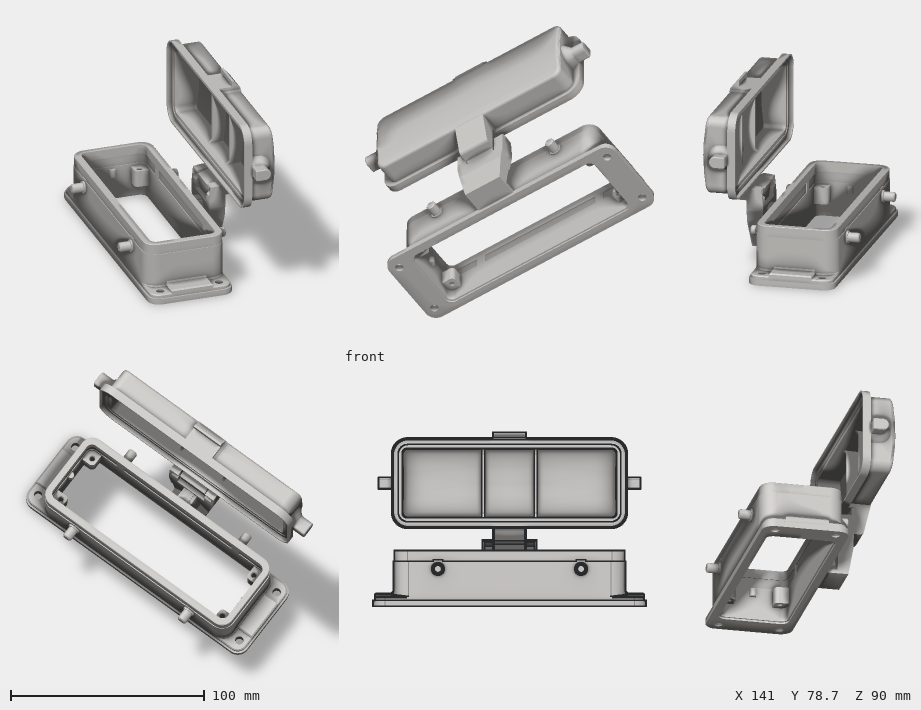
import cadquery as cq
import math


FLANGE_LENGTH = 141.0
FLANGE_WIDTH = 45.8
FLANGE_HEIGHT = 3.1
FLANGE_RADIUS = 6.2
STEP_INSET = 1.0
STEP_TOP = 5.1
STEP_EDGE = 0.5
PAD_TOP = 6.8
PAD_HALF_WIDTH = 11.4
PAD_EDGE = 0.7
MOUNT_HOLE_DIAMETER = 4.4
MOUNT_HOLE_X = 64.9
MOUNT_HOLE_Y = 16.1

BODY_LENGTH = 119.8
BODY_WIDTH = FLANGE_WIDTH - 2 * STEP_INSET
BODY_RADIUS = 7.6
SKIRT_SIZE = 0.8
SKIRT_LAND = 0.1
BODY_TOP = 29.0
RIM_BOTTOM = 23.4
RIM_INSET = 0.4
RIM_RADIUS = 6.6
RIM_EDGE = 0.3
OPENING_LENGTH = 112.4
OPENING_WIDTH = 35.4
OPENING_RADIUS = 3.4
BAND_BOTTOM = 18.8
BAND_TOP = 24.1
BAND_DEPTH = 0.4
BOTTOM_RELIEF = 0.8
BOTTOM_RELIEF_HEIGHT = 1.0

PIN_X = 37.0
PIN_Z = 19.3
PIN_DIAMETER = 5.1
PIN_TIP_Y = 28.9
PIN_EDGE = 0.5
COLLAR_DIAMETER = 6.5
COLLAR_Y = 23.0
PIN_PAD_WIDTH = 4.8

BOSS_INNER_X = 49.2
BOSS_INNER_Y = 10.3
BOSS_RADIUS = 2.3
BOSS_BOTTOM = 8.5
BOSS_TOP = 17.3
SCREW_X = 52.0
SCREW_Y = 13.5
SCREW_DIAMETER = 2.7
SCREW_EDGE = 0.4
NUB_X = 55.7
NUB_RADIUS = 1.7
NUB_BOTTOM = 13.4
NUB_TOP = 17.6

BRACKET_HALF_WIDTH = 14.0
BRACKET_FOOT_HALF_WIDTH = 10.7
BRACKET_BOTTOM = 2.3
BRACKET_TAPER_Z = 22.0
BRACKET_TOP = 34.3
BRACKET_FRONT_Y = 28.6
BRACKET_LOWER_FRONT_Y = 29.5
BRACKET_BACK_Y = 37.4
BRACKET_FOOT_BACK_Y = 35.2
BRACKET_BACK_BEND_Z = 15.8
BRACKET_BACK_TOP_Z = 33.3
BRACKET_CREST_Y = 34.1
BRACKET_CROWN_Y = 36.1
BRACKET_CROWN_Z = 34.0
BRACKET_FRONT_TOP_Z = 33.7
BRACKET_FRONT_BEND_Z = 25.1
BRACKET_NOTCH_Z = 14.0
POCKET_OUTER_X = 12.7
POCKET_BOTTOM = 28.2
POCKET_BACK_Z = 31.0
POCKET_TOP = 33.4
POCKET_DEPTH = 4.2
FORK_BOTTOM = 23.8
KNUCKLE_HALF_WIDTH = 7.9
KNUCKLE_TOP = 34.0
KNUCKLE_CREST_Y = 36.4
KNUCKLE_SHOULDER_Y = 31.9
KNUCKLE_SHOULDER_Z = 32.9
KNUCKLE_NOSE_Y = 30.0
KNUCKLE_NOSE_Z = 32.1
KNUCKLE_FOOT_Y = 31.0
WEB_SHOULDER_Z = 4.1
WEB_WAIST_Z = 8.5
WEB_WAIST_HALF_WIDTH = 5.8
WEB_TOP_HALF_WIDTH = 4.1
WEB_RIDGE_HALF_WIDTH = 2.3
WEB_RIDGE_HEIGHT = 0.7

LID_Z = 63.6
LID_FRONT_Y = 31.5
LID_FLANGE_BACK_Y = 35.7
LID_LENGTH = 121.7
LID_HEIGHT = 46.7
LID_RADIUS = 8.5
SHELL_LENGTH = 114.2
SHELL_HEIGHT = 41.5
SHELL_RADIUS = 5.0
SHELL_CROWN_Y = 49.8
SHELL_SIDE_Y = 47.7
SHELL_EDGE = 1.7
LID_RIM_WIDTH = 0.8
LID_RIM_DEPTH = 2.3
SEAT_INSET = 3.4
SEAT_DEPTH = 0.4
CAVITY_LENGTH = 111.0
CAVITY_HEIGHT = 36.1
CAVITY_RADIUS = 2.8
CAVITY_DRAFT = 2.0
SHELL_THICKNESS = 2.5
RIB_X = 13.5
RIB_WIDTH = 1.4
RIB_FRONT_Y = 39.8
RIB_FLARE = 2.8

ARM_HALF_WIDTH = 8.6
ARM_FRONT_Y = 37.6
ARM_BOTTOM = 26.0
ARM_BACK_Y = 43.5
ARM_STEP_Z = 40.6
ARM_ROOT_Z = 43.7
ARM_BOTTOM_RADIUS = 2.3
ARM_EDGE = 0.8
LATCH_FRONT_Y = 42.9
LATCH_BACK_Y = 47.7
LATCH_TOP = 90.0
LATCH_TIP_Y = 44.1
LATCH_SLOPE_Z = 85.6
LATCH_ROOT_Z = 81.8
LATCH_FLARE = 1.7
LATCH_FLARE_TOP = 85.0
PEG_RADIUS = 3.1
PEG_Y = 40.6
PEG_TIP_X = 67.8
PEG_OVERLAP = 0.1
PEG_EDGE = 0.4
PEG_CORNER_RADIUS = 0.8
PEG_BASE_RADIUS = 6.3

WALL_Y = BODY_WIDTH / 2
LID_TOP = LID_Z + LID_HEIGHT / 2
SHELL_TOP = LID_Z + SHELL_HEIGHT / 2
SHELL_BOTTOM = LID_Z - SHELL_HEIGHT / 2
SIGNS = (-1, 1)


def box(x0, x1, y0, y1, z0, z1):
    """Box between two opposite corners."""
    return cq.Workplane("XY").box(x1 - x0, y1 - y0, z1 - z0, centered=False).translate((x0, y0, z0))


def plate(length, width, radius, z0, z1):
    """Upright block with rounded corners, centred on the housing."""
    block = cq.Workplane("XY").workplane(offset=z0).rect(length, width).extrude(z1 - z0)
    return block.edges("|Z").fillet(radius)


def lid_block(length, height, radius, y0, y1):
    """Block with rounded corners, centred on the lid and running from y0 back to y1."""
    plane = cq.Workplane("XZ", origin=(0, y0, LID_Z))
    return plane.rect(length, height).extrude(y0 - y1).edges("|Y").fillet(radius)


def side_profile(points, half_width):
    """Closed Y-Z outline extruded to both sides of the middle plane."""
    return cq.Workplane("YZ").polyline(points).close().extrude(half_width, both=True)


def crowned(height, side_y, crown_y):
    """Full-length block with the arched back of the lid, height being its Z size."""
    outline = (
        cq.Workplane("YZ")
        .moveTo(LID_FRONT_Y, LID_Z - height / 2)
        .lineTo(side_y, LID_Z - height / 2)
        .threePointArc((crown_y, LID_Z), (side_y, LID_Z + height / 2))
        .lineTo(LID_FRONT_Y, LID_Z + height / 2)
        .close()
    )
    return outline.extrude(LID_LENGTH / 2, both=True)


def make_flange():
    """Mounting flange with its raised step, the two end pads and four screw holes."""
    flange = plate(FLANGE_LENGTH, FLANGE_WIDTH, FLANGE_RADIUS, 0, FLANGE_HEIGHT)
    step_length = FLANGE_LENGTH - 2 * STEP_INSET
    step = plate(step_length, BODY_WIDTH, FLANGE_RADIUS - STEP_INSET, 0, STEP_TOP)
    pads = box(-step_length / 2, step_length / 2, -PAD_HALF_WIDTH, PAD_HALF_WIDTH, 0, PAD_TOP)
    flange = flange.union(step.faces(">Z").edges().chamfer(STEP_EDGE))
    flange = flange.union(pads.faces(">Z").edges().chamfer(PAD_EDGE))
    holes = (
        cq.Workplane("XY")
        .rect(2 * MOUNT_HOLE_X, 2 * MOUNT_HOLE_Y, forConstruction=True)
        .vertices()
        .circle(MOUNT_HOLE_DIAMETER / 2)
        .extrude(PAD_TOP)
    )
    return flange.cut(holes)


def make_walls():
    """Outer walls with the slightly smaller rim on top."""
    rim_length = BODY_LENGTH - 2 * RIM_INSET
    rim_width = BODY_WIDTH - 2 * RIM_INSET
    rim = plate(rim_length, rim_width, RIM_RADIUS, 0, BODY_TOP)
    rim = rim.faces(">Z").edges().chamfer(RIM_EDGE)
    return plate(BODY_LENGTH, BODY_WIDTH, BODY_RADIUS, 0, RIM_BOTTOM).union(rim)


def make_skirt(base_z):
    """Bevelled skirt where the end walls meet the flange at height base_z."""
    skirt = plate(BODY_LENGTH + 2 * SKIRT_SIZE, BODY_WIDTH, BODY_RADIUS, 0, base_z + SKIRT_SIZE)
    return skirt.faces(">Z").edges().chamfer(SKIRT_SIZE - SKIRT_LAND)


def opening(growth, z0, z1):
    """Inside space of the housing, enlarged by growth on every side."""
    return plate(OPENING_LENGTH + 2 * growth, OPENING_WIDTH + 2 * growth, OPENING_RADIUS + growth, z0, z1)


def make_pin(x, side):
    """Collared pin on the front (-1) or back (+1) wall, with a pad filling the inner band behind it."""
    start = OPENING_WIDTH / 2 + BAND_DEPTH
    plane = cq.Workplane("XZ", origin=(x, side * start, PIN_Z))
    pin = plane.circle(PIN_DIAMETER / 2).extrude(-side * (PIN_TIP_Y - start))
    pin = pin.faces(">Y" if side > 0 else "<Y").chamfer(PIN_EDGE)
    pin = pin.union(plane.circle(COLLAR_DIAMETER / 2).extrude(-side * (COLLAR_Y - start)))
    inside = sorted((side * OPENING_WIDTH / 2, side * WALL_Y))
    half = PIN_PAD_WIDTH / 2
    return pin.union(box(x - half, x + half, *inside, BAND_BOTTOM, BAND_TOP))


def make_boss(x_side, y_side):
    """Corner boss with a screw hole, joined to both walls."""
    xs = sorted((x_side * BOSS_INNER_X, x_side * (OPENING_LENGTH / 2 + BAND_DEPTH)))
    ys = sorted((y_side * BOSS_INNER_Y, y_side * (OPENING_WIDTH / 2 + BAND_DEPTH)))
    boss = box(*xs, *ys, BOSS_BOTTOM, BOSS_TOP)
    inner_x_face = "<X" if x_side > 0 else ">X"
    inner_y_edge = "<Y" if y_side > 0 else ">Y"
    boss = boss.faces(inner_x_face).edges(inner_y_edge).fillet(BOSS_RADIUS)
    screw = cq.Workplane("XY", origin=(x_side * SCREW_X, y_side * SCREW_Y, BOSS_TOP))
    hole = screw.circle(SCREW_DIAMETER / 2).extrude(BOSS_BOTTOM - BOSS_TOP)
    countersink = screw.circle(SCREW_DIAMETER / 2 + SCREW_EDGE).workplane(offset=-SCREW_EDGE)
    return boss.cut(hole).cut(countersink.circle(SCREW_DIAMETER / 2).loft())


def make_housing():
    """Flange and walls, opened right through, with pins, bosses and nubs."""
    pad_half = PAD_HALF_WIDTH - PAD_EDGE
    pad_zone = box(-FLANGE_LENGTH / 2, FLANGE_LENGTH / 2, -pad_half, pad_half, 0, BODY_TOP)
    housing = make_flange().union(make_walls()).union(make_skirt(STEP_TOP))
    housing = housing.union(make_skirt(PAD_TOP).intersect(pad_zone))
    housing = housing.cut(opening(0, 0, BODY_TOP))
    housing = housing.cut(opening(BAND_DEPTH, BAND_BOTTOM, BAND_TOP))
    housing = housing.cut(opening(BOTTOM_RELIEF, 0, BOTTOM_RELIEF_HEIGHT))
    for x_side in SIGNS:
        nub = cq.Workplane("XY", origin=(x_side * NUB_X, 0, NUB_BOTTOM))
        housing = housing.union(nub.circle(NUB_RADIUS).extrude(NUB_TOP - NUB_BOTTOM))
        for y_side in SIGNS:
            housing = housing.union(make_pin(x_side * PIN_X, y_side))
            housing = housing.union(make_boss(x_side, y_side))
    return housing


def make_bracket():
    """Hinge block behind the housing, with the web and foot that carry it."""
    block = (
        cq.Workplane("YZ")
        .moveTo(BRACKET_FOOT_BACK_Y, BRACKET_BOTTOM)
        .lineTo(BRACKET_BACK_Y, BRACKET_BACK_BEND_Z)
        .lineTo(BRACKET_BACK_Y, BRACKET_BACK_TOP_Z)
        .threePointArc((BRACKET_CROWN_Y, BRACKET_CROWN_Z), (BRACKET_CREST_Y, BRACKET_TOP))
        .lineTo(BRACKET_LOWER_FRONT_Y, BRACKET_FRONT_TOP_Z)
        .lineTo(BRACKET_FRONT_Y, BRACKET_FRONT_BEND_Z)
        .lineTo(BRACKET_FRONT_Y, BRACKET_NOTCH_Z)
        .lineTo(BRACKET_LOWER_FRONT_Y, BRACKET_NOTCH_Z)
        .lineTo(BRACKET_LOWER_FRONT_Y, BRACKET_BOTTOM)
        .close()
        .extrude(BRACKET_HALF_WIDTH, both=True)
    )
    front_half = (
        cq.Workplane("XZ", origin=(0, BRACKET_FRONT_Y, 0))
        .moveTo(BRACKET_FOOT_HALF_WIDTH, BRACKET_BOTTOM)
        .lineTo(BRACKET_HALF_WIDTH, BRACKET_TAPER_Z)
        .lineTo(BRACKET_HALF_WIDTH, BRACKET_TOP)
        .lineTo(0, BRACKET_TOP)
        .lineTo(0, BRACKET_BOTTOM)
        .close()
        .extrude(BRACKET_FRONT_Y - BRACKET_BACK_Y)
    )
    bracket = block.intersect(front_half.union(front_half.mirror("YZ")))
    pocket_outline = [
        (BRACKET_FRONT_Y, POCKET_BOTTOM),
        (BRACKET_FRONT_Y + POCKET_DEPTH, POCKET_BACK_Z),
        (BRACKET_FRONT_Y, POCKET_TOP),
    ]
    for side in SIGNS:
        pocket = cq.Workplane("YZ", origin=(side * ARM_HALF_WIDTH, 0, 0)).polyline(pocket_outline).close()
        bracket = bracket.cut(pocket.extrude(side * (POCKET_OUTER_X - ARM_HALF_WIDTH)))
    fork = box(
        -ARM_HALF_WIDTH, ARM_HALF_WIDTH, BRACKET_FRONT_Y, BRACKET_BACK_Y, FORK_BOTTOM, BRACKET_TOP,
    )
    bracket = bracket.cut(fork)

    web_start = OPENING_WIDTH / 2 + BOTTOM_RELIEF
    web_half = (
        cq.Workplane("XZ", origin=(0, web_start, 0))
        .moveTo(0, BRACKET_BOTTOM)
        .lineTo(BRACKET_FOOT_HALF_WIDTH, BRACKET_BOTTOM)
        .lineTo(BRACKET_FOOT_HALF_WIDTH, WEB_SHOULDER_Z)
        .lineTo(WEB_WAIST_HALF_WIDTH, WEB_WAIST_Z)
        .lineTo(WEB_TOP_HALF_WIDTH, BRACKET_TAPER_Z)
        .lineTo(WEB_RIDGE_HALF_WIDTH, BRACKET_TAPER_Z)
        .lineTo(WEB_RIDGE_HALF_WIDTH, BRACKET_TAPER_Z + WEB_RIDGE_HEIGHT)
        .lineTo(0, BRACKET_TAPER_Z + WEB_RIDGE_HEIGHT)
        .close()
        .extrude(web_start - BRACKET_LOWER_FRONT_Y)
    )
    return bracket.union(web_half).union(web_half.mirror("YZ"))


def make_lid_shell():
    """Solid lid flange and crowned cover, before hollowing."""
    flange = lid_block(LID_LENGTH, LID_HEIGHT, LID_RADIUS, LID_FRONT_Y, LID_FLANGE_BACK_Y)
    cover = lid_block(SHELL_LENGTH, SHELL_HEIGHT, SHELL_RADIUS, LID_FRONT_Y, SHELL_CROWN_Y)
    cover = cover.intersect(crowned(SHELL_HEIGHT, SHELL_SIDE_Y, SHELL_CROWN_Y))
    back_edges = cq.selectors.BoxSelector(
        (-LID_LENGTH, SHELL_SIDE_Y - SHELL_EDGE, SHELL_BOTTOM - SHELL_EDGE),
        (LID_LENGTH, SHELL_CROWN_Y + SHELL_EDGE, SHELL_TOP + SHELL_EDGE),
    )
    cover = cover.edges(back_edges).fillet(SHELL_EDGE)
    return flange.union(cover)


def inset_block(inset, back_y):
    """Block set in from the lid outline, from the lid front back to back_y."""
    return lid_block(LID_LENGTH - 2 * inset, LID_HEIGHT - 2 * inset, LID_RADIUS - inset, LID_FRONT_Y, back_y)


def make_cavity():
    """Stepped space inside the lid: recess behind the rim, gasket seat and hollow."""
    floor_y = LID_FRONT_Y + LID_RIM_DEPTH
    recess = inset_block(LID_RIM_WIDTH, floor_y)
    seat = inset_block(SEAT_INSET, floor_y + SEAT_DEPTH)
    mouth = cq.Sketch().rect(CAVITY_LENGTH, CAVITY_HEIGHT).vertices().fillet(CAVITY_RADIUS)
    hollow = cq.Workplane("XZ", origin=(0, LID_FRONT_Y, LID_Z)).placeSketch(mouth)
    hollow = hollow.extrude(LID_FRONT_Y - SHELL_CROWN_Y, taper=CAVITY_DRAFT)
    inner_back = crowned(SHELL_HEIGHT, SHELL_SIDE_Y - SHELL_THICKNESS, SHELL_CROWN_Y - SHELL_THICKNESS)
    return recess.union(seat).union(hollow.intersect(inner_back))


def make_rib(x):
    """Cross rib whose front edge curves forward into the cavity walls."""
    top = LID_Z + CAVITY_HEIGHT / 2
    bottom = LID_Z - CAVITY_HEIGHT / 2
    bend = RIB_FLARE * (1 - math.sqrt(0.5))
    tip_y = RIB_FRONT_Y - RIB_FLARE
    rib = (
        cq.Workplane("YZ", origin=(x, 0, 0))
        .moveTo(SHELL_SIDE_Y, bottom)
        .lineTo(tip_y, bottom)
        .threePointArc((RIB_FRONT_Y - bend, bottom + bend), (RIB_FRONT_Y, bottom + RIB_FLARE))
        .lineTo(RIB_FRONT_Y, top - RIB_FLARE)
        .threePointArc((RIB_FRONT_Y - bend, top - bend), (tip_y, top))
        .lineTo(SHELL_SIDE_Y, top)
        .close()
    )
    return rib.extrude(RIB_WIDTH / 2, both=True)


def make_peg():
    """Side peg at +X: a U-shaped bar on a base that narrows outwards."""
    def u_shape(x, radius):
        """U outline in the plane at x, open side against the lid flange."""
        return (
            cq.Workplane("YZ", origin=(x, 0, 0))
            .moveTo(LID_FLANGE_BACK_Y - PEG_OVERLAP, LID_Z - radius)
            .lineTo(PEG_Y, LID_Z - radius)
            .threePointArc((PEG_Y + radius, LID_Z), (PEG_Y, LID_Z + radius))
            .lineTo(LID_FLANGE_BACK_Y - PEG_OVERLAP, LID_Z + radius)
            .close()
        )
    root_x = SHELL_LENGTH / 2
    bar = u_shape(root_x, PEG_RADIUS).extrude(PEG_TIP_X - root_x)
    bar = bar.edges("|X and <Y").fillet(PEG_CORNER_RADIUS).faces(">X").chamfer(PEG_EDGE)
    tip_wire = u_shape(LID_LENGTH / 2, PEG_RADIUS).wire().val()
    base_wire = u_shape(root_x, PEG_BASE_RADIUS).wire().val()
    return bar.union(cq.Workplane(cq.Solid.makeLoft([base_wire, tip_wire], True)))


def make_latch():
    """Raised block on the top edge of the lid, ending in a hooked catch."""
    catch = [
        (LID_FLANGE_BACK_Y, LID_TOP),
        (LATCH_FRONT_Y, LID_TOP),
        (LATCH_FRONT_Y, LATCH_TOP),
        (LATCH_TIP_Y, LATCH_TOP),
        (LATCH_BACK_Y, LATCH_SLOPE_Z),
        (LATCH_BACK_Y, LATCH_ROOT_Z),
        (LID_FLANGE_BACK_Y, LATCH_ROOT_Z),
    ]
    flare = (
        cq.Workplane("XZ", origin=(0, LID_FLANGE_BACK_Y, 0))
        .moveTo(-ARM_HALF_WIDTH, LID_TOP)
        .lineTo(ARM_HALF_WIDTH, LID_TOP)
        .lineTo(ARM_HALF_WIDTH, LATCH_FLARE_TOP)
        .lineTo(ARM_HALF_WIDTH + LATCH_FLARE, SHELL_TOP)
        .lineTo(-ARM_HALF_WIDTH - LATCH_FLARE, SHELL_TOP)
        .lineTo(-ARM_HALF_WIDTH, LATCH_FLARE_TOP)
        .close()
        .extrude(LID_FLANGE_BACK_Y - LATCH_BACK_Y)
    )
    profile = side_profile(catch, ARM_HALF_WIDTH + LATCH_FLARE)
    return side_profile(catch, ARM_HALF_WIDTH).union(flare.intersect(profile))


def make_arm():
    """Arm running down from the lid, with the knuckle that sits in the bracket fork."""
    outline = [
        (LID_FLANGE_BACK_Y, ARM_STEP_Z),
        (LID_FLANGE_BACK_Y, ARM_ROOT_Z),
        (SHELL_SIDE_Y, ARM_ROOT_Z),
        (SHELL_SIDE_Y, SHELL_BOTTOM),
        (ARM_BACK_Y, ARM_BOTTOM),
        (ARM_FRONT_Y, ARM_BOTTOM),
        (ARM_FRONT_Y, ARM_STEP_Z),
    ]
    arm = side_profile(outline, ARM_HALF_WIDTH)
    arm = arm.faces("<Z").edges(">Y").fillet(ARM_BOTTOM_RADIUS)
    lower_front = cq.selectors.BoxSelector(
        (-LID_LENGTH, LID_FLANGE_BACK_Y, ARM_BOTTOM), (LID_LENGTH, ARM_BACK_Y, ARM_STEP_Z)
    )
    arm = arm.edges("|Z").edges(lower_front).chamfer(ARM_EDGE)
    knuckle = [
        (ARM_FRONT_Y, ARM_BOTTOM),
        (ARM_FRONT_Y, KNUCKLE_TOP),
        (KNUCKLE_CREST_Y, KNUCKLE_TOP),
        (KNUCKLE_SHOULDER_Y, KNUCKLE_SHOULDER_Z),
        (KNUCKLE_NOSE_Y, KNUCKLE_NOSE_Z),
        (KNUCKLE_FOOT_Y, FORK_BOTTOM),
        (BRACKET_BACK_Y, FORK_BOTTOM),
    ]
    return arm.union(side_profile(knuckle, KNUCKLE_HALF_WIDTH))


lid = make_lid_shell().union(make_latch()).union(make_arm())
peg = make_peg()
lid = lid.union(peg).union(peg.mirror("YZ")).cut(make_cavity())
for rib_side in SIGNS:
    lid = lid.union(make_rib(rib_side * RIB_X))

result = make_housing().union(make_bracket()).union(lid)